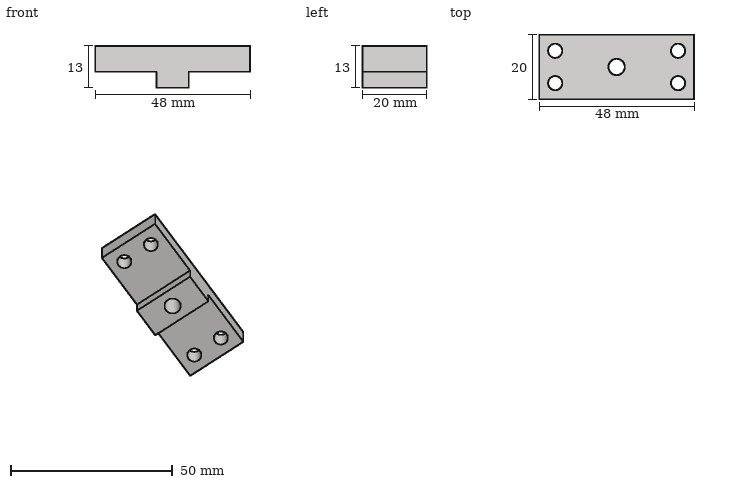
import cadquery as cq

plate_length = 48.0
plate_width = 20.0
plate_thickness = 8.0

rib_length = 10.0
rib_depth = 5.0

center_hole_diameter = 5.0
corner_hole_diameter = 4.3
corner_hole_end_distance = 5.0
corner_hole_spacing_x = plate_length - 2 * corner_hole_end_distance
corner_hole_spacing_y = plate_width / 2

plate = cq.Workplane("XY").box(
    plate_length, plate_width, plate_thickness, centered=(True, True, False)
)
rib = (
    cq.Workplane("XY")
    .box(rib_length, plate_width, rib_depth, centered=(True, True, False))
    .translate((0, 0, -rib_depth))
)
body = plate.union(rib)

body = body.faces(">Z").workplane(origin=(0, 0, 0)).hole(center_hole_diameter)

result = (
    body.faces(">Z")
    .workplane(origin=(0, 0, 0))
    .rarray(corner_hole_spacing_x, corner_hole_spacing_y, 2, 2)
    .hole(corner_hole_diameter)
)